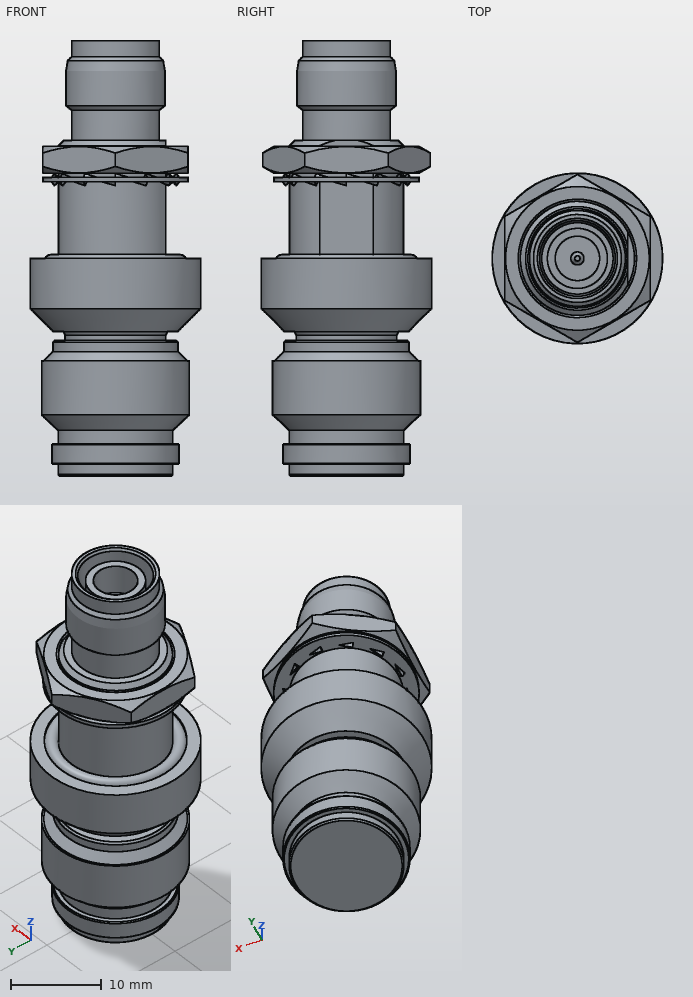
import cadquery as cq
import math

total_height = 48.0
base_radius = 6.35
base_edge_chamfer = 0.2

ring_radius = 7.0
ring_bottom = 1.3
ring_top = 3.6
ring_chamfer = 0.15

lower_drum_radius = 8.15
lower_drum_cone_bottom = 5.05
lower_drum_bottom = 6.75
lower_drum_top = 12.7
collar_radius = 6.9
collar_bottom = 13.75
collar_top = 15.0
collar_chamfer = 0.25

groove_radius = 5.55
groove_root_widening = 0.2
groove_root_height = 0.4
flange_radius = 9.4
flange_cone_small_radius = 6.85
flange_bottom = 18.5
flange_top = 24.0
flange_cone_bottom = flange_bottom - (flange_radius - flange_cone_small_radius)

barrel_radius = 6.3
barrel_top = 37.0
barrel_chamfer = 0.6
barrel_flat_x = 5.55

neck_radius = 4.85
head_radius = 5.45
head_cone_bottom = 40.3
head_bottom = 40.85
head_taper_start = 44.65
head_taper_end = 45.8
head_taper_radius = 5.3
head_top = 46.2

bead_outer_radius = 7.85
bead_radius = (bead_outer_radius - barrel_radius) / 2
bead_top = 24.45
bead_seat = bead_top - bead_radius

socket_mouth_radius = 4.4
socket_countersink_depth = 0.3
socket_bore_radius = 4.2
socket_floor_radius = 3.95
socket_depth = 4.8
post_radius = 3.3
post_setback = 1.0
post_bore_radius = 2.45
pin_radius = 0.7
pin_tip_radius = 0.3
pin_tip_setback = 3.35
pin_cone_height = 0.7

washer_outer_radius = 8.0
washer_bottom = 32.45
washer_top = 32.95
tooth_count = 12
tooth_height = 0.45
tooth_inner_radius = barrel_radius
tooth_outer_radius = 7.05
tooth_tip_radius = 6.7
tooth_sweep_angle = 13.0

nut_across_flats = 2 * washer_outer_radius
nut_bottom = washer_top + tooth_height
nut_top = 36.4
nut_face_radius = 7.9
nut_chamfer_angle = 30.0
nut_bore_chamfer = 0.25


def turned(points):
    """Solid of revolution about Z from a closed (radius, height) outline."""
    return cq.Workplane("XZ").polyline(points).close().revolve(360, (0, 0, 0), (0, 1, 0))


def make_lower_body():
    """Everything turned from the base up to the flange, with a recess in the flange top for the bead."""
    return turned([
        (0, 0),
        (base_radius - base_edge_chamfer, 0),
        (base_radius, base_edge_chamfer),
        (base_radius, ring_bottom),
        (ring_radius - ring_chamfer, ring_bottom),
        (ring_radius, ring_bottom + ring_chamfer),
        (ring_radius, ring_top - ring_chamfer),
        (ring_radius - ring_chamfer, ring_top),
        (base_radius, ring_top),
        (base_radius, lower_drum_cone_bottom),
        (lower_drum_radius, lower_drum_bottom),
        (lower_drum_radius, lower_drum_top),
        (collar_radius + collar_bottom - lower_drum_top, lower_drum_top),
        (collar_radius, collar_bottom),
        (collar_radius, collar_top - collar_chamfer),
        (collar_radius - collar_chamfer, collar_top),
        (groove_radius, collar_top),
        (groove_radius, flange_cone_bottom - groove_root_height),
        (groove_radius + groove_root_widening, flange_cone_bottom),
        (flange_cone_small_radius, flange_cone_bottom),
        (flange_radius, flange_bottom),
        (flange_radius, flange_top),
        (bead_outer_radius, flange_top),
        (bead_outer_radius, bead_seat),
        (0, bead_seat),
    ])


def make_barrel():
    """Nut-carrying barrel with a chamfered top and one flat on the +X side."""
    barrel = turned([
        (0, bead_seat),
        (barrel_radius, bead_seat),
        (barrel_radius, barrel_top - barrel_chamfer),
        (barrel_radius - barrel_chamfer, barrel_top),
        (0, barrel_top),
    ])
    beyond_flat = cq.Workplane("XY").box(
        barrel_radius, 2 * barrel_radius, barrel_top - bead_seat, centered=(False, True, False)
    ).translate((barrel_flat_x, 0, bead_seat))
    return barrel.cut(beyond_flat)


def make_head():
    """Neck and coupling head above the barrel."""
    return turned([
        (0, barrel_top),
        (neck_radius, barrel_top),
        (neck_radius, head_cone_bottom),
        (head_radius, head_bottom),
        (head_radius, head_taper_start),
        (head_taper_radius, head_taper_end),
        (neck_radius, head_top),
        (neck_radius, total_height),
        (0, total_height),
    ])


def make_bead():
    """Half-round gasket bead that fills the recess between the foot of the barrel and the flange."""
    return (
        cq.Workplane("XZ")
        .moveTo(barrel_radius, bead_seat)
        .threePointArc((barrel_radius + bead_radius, bead_top), (bead_outer_radius, bead_seat))
        .close()
        .revolve(360, (0, 0, 0), (0, 1, 0))
    )


def make_socket():
    """Void in the head: a countersunk, slightly tapered bore around a hollow post and a centre pin."""
    floor = total_height - socket_depth
    post_top = total_height - post_setback
    pin_top = total_height - pin_tip_setback
    return turned([
        (0, total_height),
        (socket_mouth_radius, total_height),
        (socket_bore_radius, total_height - socket_countersink_depth),
        (socket_floor_radius, floor),
        (post_radius, floor),
        (post_radius, post_top),
        (post_bore_radius, post_top),
        (post_bore_radius, floor),
        (pin_radius, floor),
        (pin_radius, pin_top - pin_cone_height),
        (pin_tip_radius, pin_top),
        (0, pin_top),
    ])


def make_connector():
    body = make_lower_body().union(make_barrel()).union(make_head()).union(make_bead())
    return body.cut(make_socket())


def make_nut():
    """Hexagonal nut with flats facing +X and -X, corners bevelled on both faces."""
    corner_radius = nut_across_flats / math.sqrt(3)
    height = nut_top - nut_bottom
    hexagon = (
        cq.Workplane("XY", origin=(0, 0, nut_bottom))
        .polygon(6, 2 * corner_radius)
        .extrude(height)
        .rotate((0, 0, 0), (0, 0, 1), 30)
    )
    corner_drop = (corner_radius - nut_face_radius) * math.tan(math.radians(nut_chamfer_angle))
    bevelled_blank = turned([
        (0, nut_bottom),
        (nut_face_radius, nut_bottom),
        (corner_radius, nut_bottom + corner_drop),
        (corner_radius, nut_top - corner_drop),
        (nut_face_radius, nut_top),
        (0, nut_top),
    ])
    bore_mouth_radius = barrel_radius + nut_bore_chamfer
    bore = turned([
        (0, nut_bottom),
        (bore_mouth_radius, nut_bottom),
        (barrel_radius, nut_bottom + nut_bore_chamfer),
        (barrel_radius, nut_top - nut_bore_chamfer),
        (bore_mouth_radius, nut_top),
        (0, nut_top),
    ])
    return hexagon.intersect(bevelled_blank).cut(bore)


def polar_point(radius, angle, height):
    """Point at the given radius, angle in degrees and height."""
    turn = math.radians(angle)
    return cq.Vector(radius * math.cos(turn), radius * math.sin(turn), height)


def make_tooth(face_height, rise, sweep):
    """Pointed tooth on a washer face: steep at angle 0 and sloping down over the sweep angle."""
    root_inner = polar_point(tooth_inner_radius, 0, face_height)
    root_outer = polar_point(tooth_outer_radius, 0, face_height)
    tail = polar_point(tooth_tip_radius, sweep, face_height)
    tip = polar_point(tooth_tip_radius, 0, face_height + rise)
    triangles = [
        (root_inner, root_outer, tail),
        (root_inner, root_outer, tip),
        (root_outer, tail, tip),
        (tail, root_inner, tip),
    ]
    faces = [cq.Face.makeFromWires(cq.Wire.makePolygon(corners, close=True)) for corners in triangles]
    return cq.Workplane(cq.Solid.makeSolid(cq.Shell.makeShell(faces)))


def make_washer():
    """Flat ring with slanted teeth on both faces, the two sets sloping opposite ways."""
    washer = (
        cq.Workplane("XY", origin=(0, 0, washer_bottom))
        .circle(washer_outer_radius)
        .circle(barrel_radius)
        .extrude(washer_top - washer_bottom)
    )
    upper_tooth = make_tooth(washer_top, tooth_height, tooth_sweep_angle)
    lower_tooth = make_tooth(washer_bottom, -tooth_height, -tooth_sweep_angle)
    for index in range(tooth_count):
        angle = index * 360 / tooth_count
        for tooth in (upper_tooth, lower_tooth):
            washer = washer.union(tooth.rotate((0, 0, 0), (0, 0, 1), angle))
    return washer


connector = make_connector()
nut = make_nut()
washer = make_washer()

result = cq.Compound.makeCompound([body.solids().val() for body in (connector, nut, washer)])